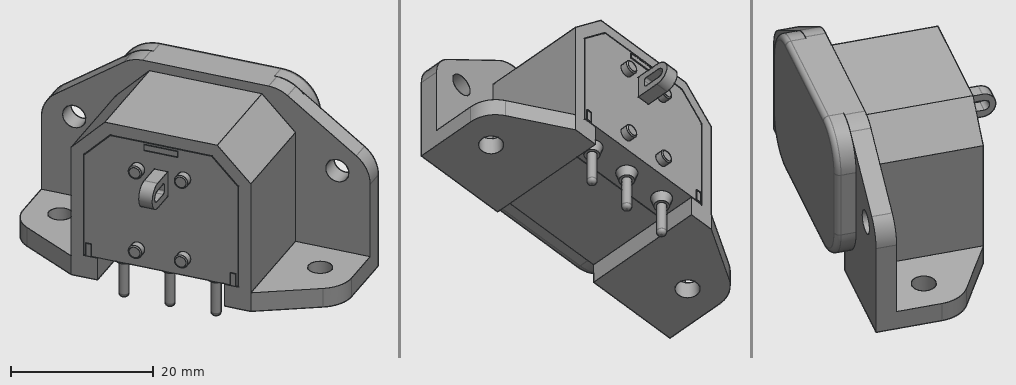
import cadquery as cq


flange_width = 50.0
flange_height = 27.0
wall = 3.0
corner_radius = 5.0
flange_top_half_width = 11.15
flange_side_height = 17.2
foot_side_depth = 12.55
screw_hole_diameter = 3.5
flange_hole_spacing = 40.0
flange_hole_height = 15.7
foot_hole_spacing = 39.5
foot_hole_depth = 8.55

body_width = 27.3
body_height = 25.55
body_depth = 19.1
body_chamfer = 5.1
bezel_width = 30.5
bezel_bottom = 4.5
bezel_depth = 3.0
bezel_corner_radius = 6.05
bezel_edge_radius = 0.8
leg_gap_width = 19.3

cover_width = 23.4
cover_bottom = 3.6
cover_top = 23.6
cover_top_width = 15.4
cover_chamfer_height = 4.0
cover_depth = 6.0
cover_clearance = 0.1

stud_diameter = 2.05
stud_length = 1.25
stud_tip_length = 0.15
stud_tip_inset = 0.2
stud_spacing = 7.0
stud_heights = (6.4, 19.15)

pad_height = 0.15
top_pad_width = 5.1
top_pad_size = 0.95
top_pad_center_height = 22.85
side_pad_width = 0.85
side_pad_size = 2.0
side_pad_offset = 11.0

collar_top_radius = 1.55
collar_bottom_radius = 1.1
collar_length = 1.5

pin_diameter = 1.45
pin_pitch = 7.0
pin_depth = 15.85
pin_tip_drop = 3.65
pin_tip_radius = 0.6

lug_width = 2.05
lug_height = 3.95
lug_center_height = 17.7
lug_length = 5.6
lug_slot_height = 1.65
lug_slot_length = 3.5
lug_slot_start = 1.2
lug_slot_inner_radius = 0.4

rear_y = -body_depth
pin_y = -pin_depth
lug_bottom = lug_center_height - lug_height / 2
lug_inner_y = pin_y + pin_diameter / 2


def plate_xz(outline, y_rear, depth):
    """Extrude an outline of (x, z) points toward +Y, starting at y_rear."""
    return cq.Workplane("XZ", origin=(0, y_rear, 0)).polyline(outline).close().extrude(-depth)


def shouldered_outline(half_width, top_half_width, bottom, shoulder, top):
    """Rectangle with sloping upper corners, as (x, z) points."""
    return [
        (-half_width, bottom),
        (half_width, bottom),
        (half_width, shoulder),
        (top_half_width, top),
        (-top_half_width, top),
        (-half_width, shoulder),
    ]


def make_flange():
    outline = shouldered_outline(
        flange_width / 2, flange_top_half_width, 0, flange_side_height, flange_height
    )
    flange = plate_xz(outline, -wall, wall)
    upper_corners = flange.edges("|Y").edges(cq.selectors.BoxSelector(
        (-flange_width, -flange_width, wall), (flange_width, flange_width, 2 * flange_height)
    ))
    flange = upper_corners.fillet(corner_radius)
    holes = (
        cq.Workplane("XZ")
        .pushPoints([(side * flange_hole_spacing / 2, flange_hole_height) for side in (-1, 1)])
        .circle(screw_hole_diameter / 2)
        .extrude(wall)
    )
    return flange.cut(holes)


def make_foot():
    outline = [
        (-flange_width / 2, 0),
        (flange_width / 2, 0),
        (flange_width / 2, -foot_side_depth),
        (body_width / 2, rear_y),
        (-body_width / 2, rear_y),
        (-flange_width / 2, -foot_side_depth),
    ]
    foot = cq.Workplane("XY").polyline(outline).close().extrude(wall)
    outer_corners = foot.edges("|Z").edges(cq.selectors.BoxSelector(
        (-flange_width, rear_y + wall, -wall), (flange_width, -wall, 2 * wall)
    ))
    foot = outer_corners.fillet(corner_radius)
    holes = (
        cq.Workplane("XY")
        .pushPoints([(side * foot_hole_spacing / 2, -foot_hole_depth) for side in (-1, 1)])
        .circle(screw_hole_diameter / 2)
        .extrude(wall)
    )
    return foot.cut(holes)


def make_rear_body():
    outline = shouldered_outline(
        body_width / 2, body_width / 2 - body_chamfer, 0, body_height - body_chamfer, body_height
    )
    return plate_xz(outline, rear_y, body_depth)


def make_bezel():
    bezel_height = flange_height - bezel_bottom
    return (
        cq.Workplane("XZ", origin=(0, 0, bezel_bottom + bezel_height / 2))
        .rect(bezel_width, bezel_height)
        .extrude(-bezel_depth)
        .edges("|Y")
        .fillet(bezel_corner_radius)
        .faces(">Y")
        .edges()
        .fillet(bezel_edge_radius)
    )


def make_cover_block(clearance=0):
    """Body of the cover; with a clearance added all round it cuts the pocket."""
    outline = shouldered_outline(
        cover_width / 2,
        cover_top_width / 2,
        cover_bottom,
        cover_top - cover_chamfer_height,
        cover_top,
    )
    profile = cq.Workplane("XZ", origin=(0, rear_y, 0)).polyline(outline).close()
    if clearance > 0:
        profile = profile.offset2D(clearance, "intersection")
    return profile.extrude(-cover_depth)


def make_housing():
    """Flange, foot, rear body and bezel as one solid, with a leg gap and a cover pocket."""
    housing = make_flange().union(make_foot()).union(make_rear_body()).union(make_bezel())
    leg_gap_height = cover_bottom - cover_clearance
    leg_gap = cq.Workplane("XY").rect(leg_gap_width, 2 * body_depth).extrude(leg_gap_height)
    return housing.cut(leg_gap).cut(make_cover_block(cover_clearance))


def make_stud(x, z):
    return (
        cq.Workplane("XZ", origin=(x, rear_y, z))
        .circle(stud_diameter / 2)
        .extrude(stud_length)
        .faces("<Y")
        .chamfer(stud_tip_length, stud_tip_inset)
    )


def make_pad(x, z, width, height):
    return cq.Workplane("XZ", origin=(x, rear_y, z)).rect(width, height).extrude(pad_height)


def make_collar(x):
    """Tapered sleeve around a pin, hanging below the cover."""
    return cq.Workplane(cq.Solid.makeCone(
        collar_top_radius,
        collar_bottom_radius,
        collar_length,
        cq.Vector(x, pin_y, cover_bottom),
        cq.Vector(0, 0, -1),
    ))


def make_pin(x):
    """Round pin with a rounded tip, reaching up to the level of the lug."""
    tip_z = -pin_tip_drop
    return (
        cq.Workplane("XY", origin=(x, pin_y, tip_z))
        .circle(pin_diameter / 2)
        .extrude(lug_bottom - tip_z)
        .faces("<Z")
        .fillet(pin_tip_radius)
    )


def make_lug_slot():
    """Slot cutter: round at the outer end, slightly rounded at the inner end."""
    near_y = rear_y - lug_slot_start
    outer_radius = lug_slot_height / 2
    outer_center_y = near_y - lug_slot_length + outer_radius
    straight = (
        cq.Workplane("XY")
        .box(lug_width, near_y - outer_center_y, lug_slot_height, centered=(True, False, True))
        .translate((0, outer_center_y, lug_center_height))
        .edges("|X and >Y")
        .fillet(lug_slot_inner_radius)
    )
    return straight.union(make_cross_cylinder(outer_radius, outer_center_y))


def make_cross_cylinder(radius, y):
    """Cylinder along X, as wide as the lug and centered on its height."""
    return (
        cq.Workplane("YZ", origin=(-lug_width / 2, y, lug_center_height))
        .circle(radius)
        .extrude(lug_width)
    )


def make_lug():
    """Solder lug with a rounded end and a slot through its flat sides."""
    end_radius = lug_height / 2
    end_center_y = rear_y - lug_length + end_radius
    straight = (
        cq.Workplane("XY")
        .box(lug_width, lug_inner_y - end_center_y, lug_height, centered=(True, False, True))
        .translate((0, end_center_y, lug_center_height))
    )
    return straight.union(make_cross_cylinder(end_radius, end_center_y)).cut(make_lug_slot())


def make_cover(terminals):
    """Cover with studs, pads and collars, bored to fit the terminals."""
    cover = make_cover_block()
    for side in (-1, 1):
        for height in stud_heights:
            cover = cover.union(make_stud(side * stud_spacing / 2, height))
        cover = cover.union(make_pad(
            side * side_pad_offset, cover_bottom + side_pad_size / 2, side_pad_width, side_pad_size
        ))
    cover = cover.union(make_pad(0, top_pad_center_height, top_pad_width, top_pad_size))
    for position in (-1, 0, 1):
        cover = cover.union(make_collar(position * pin_pitch))
    for terminal in terminals:
        cover = cover.cut(terminal)
    return cover


housing = make_housing()
line_terminals = [make_pin(side * pin_pitch) for side in (-1, 1)]
earth_terminal = make_pin(0).union(make_lug())
cover = make_cover([*line_terminals, earth_terminal])

result = cq.Compound.makeCompound([
    housing.val(),
    cover.val(),
    *[terminal.val() for terminal in line_terminals],
    earth_terminal.val(),
])